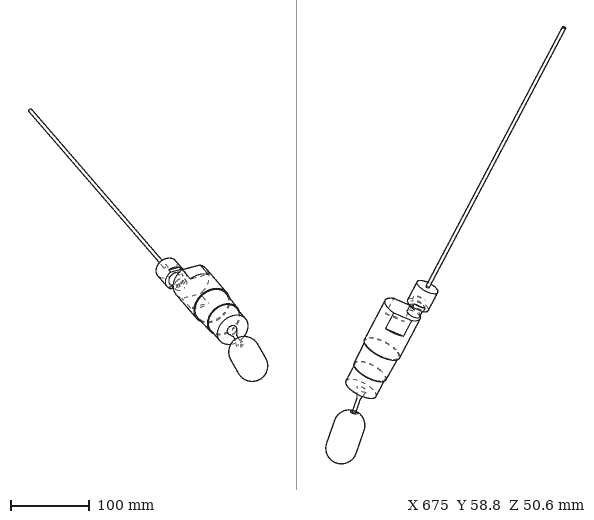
import cadquery as cq
import math

total_length = 675.0
nut_start = 403.5
nut_flat_start = 426.5
nut_end = 432.0
neck_start = 436.0
body_start = 445.5
body_flat_end = 470.0
collar_start = 507.0
collar_taper_start = 515.5
tail_start = 542.0
body_end = 569.0

probe_offset = -15.0
probe_radius = 2.35
nut_radius = 15.0
nut_flat_half_height = 13.0
neck_radius = 9.0
neck_flare_radius = 10.0

body_radius = 25.3
body_flat_half_height = 21.95
collar_radius = 23.5
collar_end_radius = 23.0
tail_radius = 21.5

tilt_angle = 8.0
bulb_diameter = 40.0
bulb_radius = bulb_diameter / 2
bulb_straight_length = 34.0
bulb_tip_center_y = -13.5
bulb_neck_radius = 5.0
relief_length = 13.5
relief_base_radius = 7.0
cable_radius = 2.35

overlap = 3.5


def rod(start, end, radius, axis_y=0.0):
    """Cylinder along X from start to end."""
    plane = cq.Workplane("YZ", origin=(start, axis_y, 0))
    return plane.circle(radius).extrude(end - start)


def revolve_about_x(profile):
    """Solid of revolution from a half outline standing on the X axis."""
    return profile.close().revolve(360, (0, 0, 0), (1, 0, 0))


def cut_parallel_flats(solid, start, end, half_height, reach, axis_y=0.0):
    """Remove everything above and below a pair of horizontal flats."""
    length = end - start
    for side in (-1, 1):
        center = ((start + end) / 2, axis_y, side * (half_height + reach / 2))
        solid = solid.cut(cq.Workplane(origin=center).box(length, 2 * reach, reach))
    return solid


def make_probe():
    tube = rod(0, nut_start + overlap, probe_radius, probe_offset)
    nut = rod(nut_start, nut_end, nut_radius, probe_offset)
    nut = cut_parallel_flats(
        nut, nut_flat_start, nut_end, nut_flat_half_height, nut_radius, probe_offset
    )
    neck_profile = (
        cq.Workplane("XY")
        .moveTo(nut_end - overlap, 0)
        .lineTo(nut_end - overlap, neck_flare_radius)
        .lineTo(nut_end, neck_flare_radius)
        .lineTo(neck_start, neck_radius)
        .lineTo(body_start + overlap, neck_radius)
        .lineTo(body_start + overlap, 0)
    )
    neck = revolve_about_x(neck_profile).translate((0, probe_offset, 0))
    return tube.union(nut).union(neck)


def make_body():
    profile = (
        cq.Workplane("XY")
        .moveTo(body_start, 0)
        .lineTo(body_start, body_radius)
        .lineTo(collar_start, body_radius)
        .lineTo(collar_start, collar_radius)
        .lineTo(collar_taper_start, collar_radius)
        .lineTo(tail_start, collar_end_radius)
        .lineTo(tail_start, tail_radius)
        .lineTo(body_end, tail_radius)
        .lineTo(body_end, 0)
    )
    body = revolve_about_x(profile)
    return cut_parallel_flats(
        body, body_start, body_flat_end, body_flat_half_height, body_radius
    )


def make_cable_and_bulb():
    """Built along X with the outer dome centre at the origin, then tilted into place."""
    tip_center_x = total_length - bulb_radius
    relief_start = (body_end - tip_center_x) / math.cos(math.radians(tilt_angle))
    relief_end = relief_start + relief_length
    inner_center = -bulb_straight_length
    bulb_start = inner_center - math.sqrt(bulb_radius**2 - bulb_neck_radius**2)
    dome_mid = bulb_radius * math.sqrt(0.5)
    profile = (
        cq.Workplane("XY")
        .moveTo(relief_start - overlap, 0)
        .lineTo(relief_start - overlap, relief_base_radius)
        .lineTo(relief_start, relief_base_radius)
        .lineTo(relief_end, cable_radius)
        .lineTo(bulb_start, cable_radius)
        .lineTo(bulb_start, bulb_neck_radius)
        .threePointArc((inner_center - dome_mid, dome_mid), (inner_center, bulb_radius))
        .lineTo(0, bulb_radius)
        .threePointArc((dome_mid, dome_mid), (bulb_radius, 0))
    )
    tilted = revolve_about_x(profile).rotate((0, 0, 0), (0, 0, 1), -tilt_angle)
    return tilted.translate((tip_center_x, bulb_tip_center_y, 0))


result = make_body().union(make_probe()).union(make_cable_and_bulb())